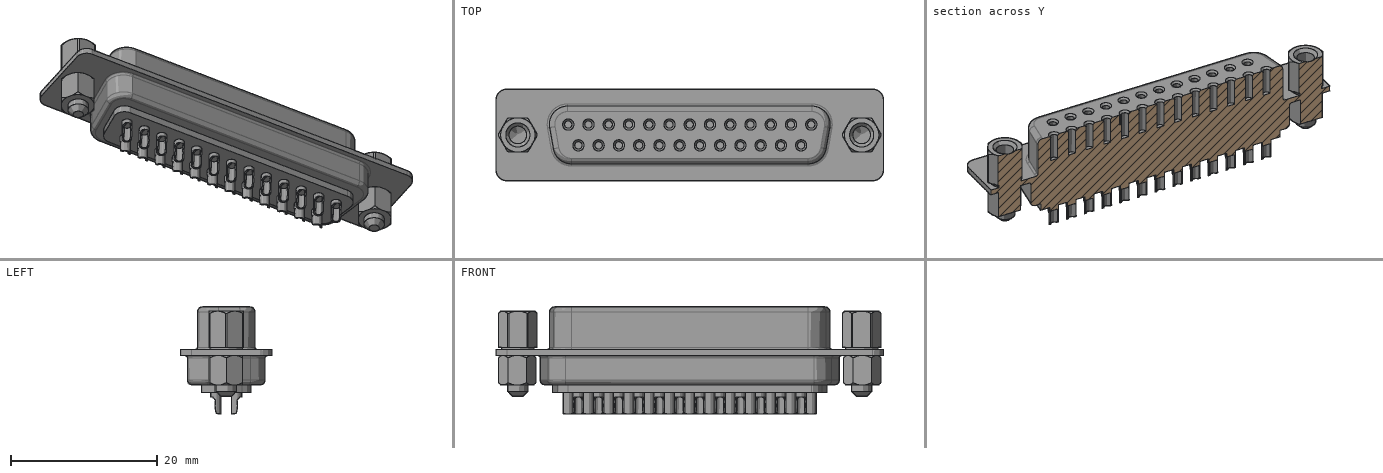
import cadquery as cq
import math


FLANGE_LENGTH = 53.04
FLANGE_WIDTH = 12.55
FLANGE_THICKNESS = 0.85
FLANGE_CORNER_RADIUS = 1.5

D_SIDE_ANGLE = math.radians(10)
ROOT_FILLET = 0.3

SHELL_LENGTH = 38.4
SHELL_WIDTH = 7.9
SHELL_HEIGHT = 5.85
SHELL_CORNER_RADIUS = 2.5
SHELL_RIM_FILLET = 0.75

REAR_LENGTH = 40.95
REAR_WIDTH = 10.65
REAR_BOTTOM = -4.83
REAR_CORNER_RADIUS = 2.45
REAR_RIM_FILLET = 0.65

INSULATOR_LENGTH = 37.6
INSULATOR_WIDTH = 6.8
INSULATOR_BOTTOM = -5.9
INSULATOR_CORNER_RADIUS = 1.5

CONTACT_PITCH = 2.77
ROW_OFFSET = 1.42
LONG_ROW_COUNT = 13
SHORT_ROW_COUNT = LONG_ROW_COUNT - 1
SOCKET_DIAMETER = 1.0
SOCKET_LEAD_IN = 0.27
SOCKET_DEPTH = 4.0

CUP_RADIUS = 0.71
CUP_BORE_RADIUS = 0.5
CUP_BOTTOM = -8.85
CUP_SHOULDER = -6.53
CUP_SHOULDER_DEPTH = 0.27
CUP_LIP_TOP = 0.05
CUP_LIP_MIDDLE = 0.12
CUP_LIP_BOTTOM = 0.0
CUP_TIP_RISE = 0.08
CUP_TIP_CHAMFER = 0.15

POST_SPACING = 47.04
NUT_FLATS = 4.7
NUT_CORNER_DIAMETER = 5.3
NUT_TOP = 5.25
NUT_CHAMFER = 0.3
COLLAR_DIAMETER = 4.5
COLLAR_HEIGHT = 0.3
LOWER_HEX_OUTWARD_SHIFT = 0.08
LOWER_HEX_FLATS = 4.45
LOWER_HEX_BOTTOM = REAR_BOTTOM
SCREW_DIAMETER = 2.8
SCREW_TIP_DIAMETER = 1.4
SCREW_BOTTOM = -6.43
SCREW_TIP_CHAMFER = (SCREW_DIAMETER - SCREW_TIP_DIAMETER) / 2
THREAD_HOLE_DIAMETER = 2.4
THREAD_HOLE_COUNTERSINK = 3.3
THREAD_HOLE_DEPTH = 4.0
THREAD_HOLE_CONE_HEIGHT = 0.7


def d_prism(length, width, corner_radius, bottom, top):
    """Prism with a rounded D outline whose longer straight side faces +Y."""
    centre_y = width / 2 - corner_radius
    long_centre_x = length / 2 - corner_radius
    short_centre_x = long_centre_x - 2 * centre_y * math.tan(D_SIDE_ANGLE)
    side_shift = corner_radius / math.cos(D_SIDE_ANGLE)
    lean_shift = corner_radius * math.tan(D_SIDE_ANGLE)
    long_x = long_centre_x + side_shift + lean_shift
    short_x = short_centre_x + side_shift - lean_shift
    corners = [
        (-long_x, width / 2),
        (long_x, width / 2),
        (short_x, -width / 2),
        (-short_x, -width / 2),
    ]
    prism = cq.Workplane("XY").workplane(offset=bottom).polyline(corners).close().extrude(top - bottom)
    return prism.edges("|Z").fillet(corner_radius)


def cylinder(radius, bottom, top):
    return cq.Workplane("XY").workplane(offset=bottom).circle(radius).extrude(top - bottom)


def flange():
    plate = cq.Workplane("XY").rect(FLANGE_LENGTH, FLANGE_WIDTH).extrude(-FLANGE_THICKNESS)
    return plate.edges("|Z").fillet(FLANGE_CORNER_RADIUS)


def body():
    """Flange with the front shell, the rear shell and the insulator block."""
    shell = d_prism(SHELL_LENGTH, SHELL_WIDTH, SHELL_CORNER_RADIUS, 0, SHELL_HEIGHT)
    shell = shell.faces(">Z").edges().fillet(SHELL_RIM_FILLET)
    rear = d_prism(REAR_LENGTH, REAR_WIDTH, REAR_CORNER_RADIUS, REAR_BOTTOM, -FLANGE_THICKNESS)
    rear = rear.faces("<Z").edges().fillet(REAR_RIM_FILLET)
    joined = flange().union(shell).union(rear)
    joined = joined.edges(root_selector(SHELL_LENGTH, SHELL_WIDTH, 0)).fillet(ROOT_FILLET)
    joined = joined.edges(root_selector(REAR_LENGTH, REAR_WIDTH, -FLANGE_THICKNESS)).fillet(ROOT_FILLET)
    insulator = d_prism(
        INSULATOR_LENGTH, INSULATOR_WIDTH, INSULATOR_CORNER_RADIUS, INSULATOR_BOTTOM, REAR_BOTTOM
    )
    return joined.union(insulator)


def root_selector(length, width, level):
    """Box selector for the edges where a D-shaped body meets the flange."""
    reach_x = length / 2
    reach_y = width / 2
    slack = 0.1
    return cq.selectors.BoxSelector(
        (-reach_x, -reach_y - slack, level - slack), (reach_x, reach_y + slack, level + slack)
    )


def row_positions(count):
    return [(index - (count - 1) / 2) * CONTACT_PITCH for index in range(count)]


def contact_positions():
    long_row = [(x, ROW_OFFSET) for x in row_positions(LONG_ROW_COUNT)]
    short_row = [(x, -ROW_OFFSET) for x in row_positions(SHORT_ROW_COUNT)]
    return long_row + short_row


def socket_holes():
    """Cutter for all contact openings, each with a conical lead-in."""
    places = contact_positions()
    radius = SOCKET_DIAMETER / 2
    face = cq.Workplane("XY").workplane(offset=SHELL_HEIGHT).pushPoints(places)
    bores = face.circle(radius).extrude(-SOCKET_DEPTH)
    lead_in = cq.Solid.makeCone(
        radius, radius + SOCKET_LEAD_IN, SOCKET_LEAD_IN, cq.Vector(0, 0, SHELL_HEIGHT - SOCKET_LEAD_IN)
    )
    lead_ins = cq.Workplane("XY").pushPoints(places).eachpoint(lambda place: lead_in.moved(place))
    return bores.union(lead_ins)


def solder_cup():
    """Cup centred on the Z axis with its open side facing +Y."""
    outer_y = CUP_RADIUS
    slope_start_y = outer_y - CUP_SHOULDER_DEPTH
    slope_end_z = CUP_SHOULDER - (slope_start_y - CUP_LIP_TOP)
    tip_z = CUP_BOTTOM + CUP_TIP_RISE
    profile = (
        cq.Workplane("YZ")
        .moveTo(-outer_y, INSULATOR_BOTTOM)
        .lineTo(outer_y, INSULATOR_BOTTOM)
        .lineTo(outer_y, CUP_SHOULDER)
        .lineTo(slope_start_y, CUP_SHOULDER)
        .lineTo(CUP_LIP_TOP, slope_end_z)
        .threePointArc(
            (CUP_LIP_MIDDLE, (slope_end_z + tip_z) / 2),
            (CUP_LIP_BOTTOM, tip_z + CUP_TIP_CHAMFER),
        )
        .lineTo(CUP_LIP_BOTTOM - CUP_TIP_CHAMFER, tip_z)
        .lineTo(-outer_y, CUP_BOTTOM)
        .close()
        .extrude(CUP_RADIUS, both=True)
    )
    cup = cylinder(CUP_RADIUS, CUP_BOTTOM, INSULATOR_BOTTOM).intersect(profile)
    return cup.cut(cylinder(CUP_BORE_RADIUS, CUP_BOTTOM, CUP_SHOULDER))


def solder_cups():
    """All cups, each row opening away from the middle of the connector."""
    long_row_cup = solder_cup().val()
    short_row_cup = long_row_cup.mirror("XZ")
    cups = []
    for x, y in contact_positions():
        cup = long_row_cup if y > 0 else short_row_cup
        cups.append(cup.translate(cq.Vector(x, y, 0)))
    return cups


def hexagon(flats, bottom, top):
    """Hexagonal prism with corners on the X axis."""
    across_corners = flats / math.cos(math.pi / 6)
    return cq.Workplane("XY").workplane(offset=bottom).polygon(6, across_corners).extrude(top - bottom)


def bevelled_round(diameter, bottom, top, bevelled_faces):
    """Bevelled cylinder that trims the corners of a hexagon."""
    return cylinder(diameter / 2, bottom, top).faces(bevelled_faces).edges().chamfer(NUT_CHAMFER)


def screw_post():
    """Post on the Z axis, oriented for the +X end of the flange."""
    nut = hexagon(NUT_FLATS, COLLAR_HEIGHT, NUT_TOP)
    nut = nut.intersect(bevelled_round(NUT_CORNER_DIAMETER, COLLAR_HEIGHT, NUT_TOP, ">Z"))
    collar = cylinder(COLLAR_DIAMETER / 2, 0, COLLAR_HEIGHT)
    lower_hex = hexagon(LOWER_HEX_FLATS, LOWER_HEX_BOTTOM, -FLANGE_THICKNESS)
    lower_diameter = LOWER_HEX_FLATS / math.cos(math.pi / 6)
    lower_round = bevelled_round(lower_diameter, LOWER_HEX_BOTTOM, -FLANGE_THICKNESS, "<Z or >Z")
    lower_hex = lower_hex.intersect(lower_round)
    lower_hex = lower_hex.translate((LOWER_HEX_OUTWARD_SHIFT, 0, 0))
    screw = cylinder(SCREW_DIAMETER / 2, SCREW_BOTTOM, 0)
    screw = screw.faces("<Z").chamfer(SCREW_TIP_CHAMFER)
    return collar.union(nut).union(screw).union(lower_hex).cut(thread_hole())


def thread_hole():
    """Blind hole with a countersunk mouth and a conical end."""
    radius = THREAD_HOLE_DIAMETER / 2
    mouth_radius = THREAD_HOLE_COUNTERSINK / 2
    floor = NUT_TOP - THREAD_HOLE_DEPTH
    return (
        cq.Workplane("XZ")
        .moveTo(0, NUT_TOP)
        .lineTo(mouth_radius, NUT_TOP)
        .lineTo(radius, NUT_TOP - (mouth_radius - radius))
        .lineTo(radius, floor)
        .lineTo(0, floor - THREAD_HOLE_CONE_HEIGHT)
        .close()
        .revolve(360, (0, 0, 0), (0, 1, 0))
    )


def screw_posts():
    right_post = screw_post().translate((POST_SPACING / 2, 0, 0))
    return right_post.union(right_post.mirror("YZ"))


connector = body().cut(socket_holes()).union(screw_posts())
for cup in solder_cups():
    connector = connector.union(cq.Workplane(cup))
result = connector